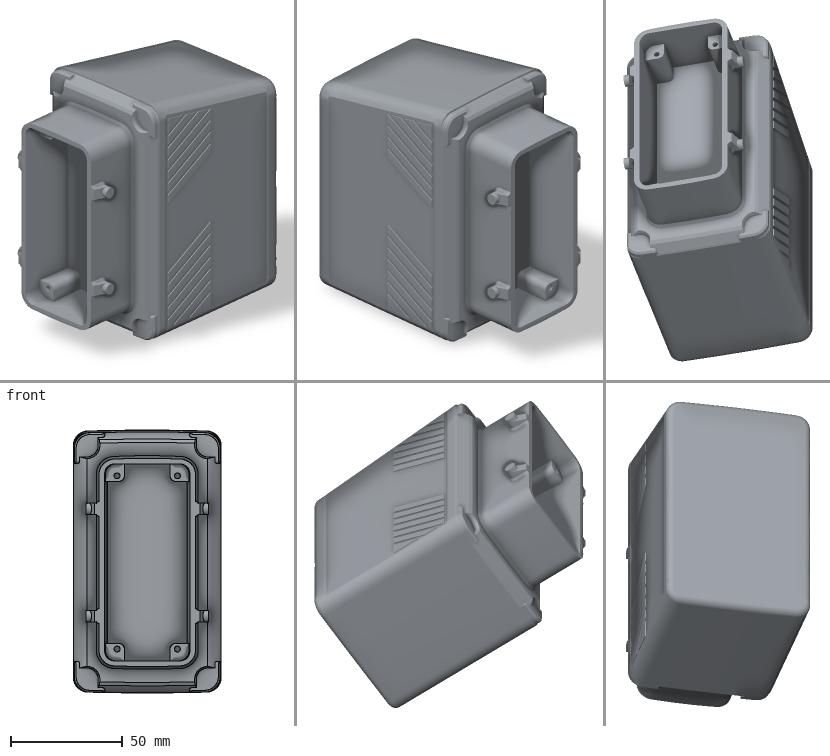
import cadquery as cq
import math

HALF_WIDTH = 33.01
HEIGHT = 117.3
DEPTH = 108.9
BODY_FRONT = 32.2
ROOF_ANGLE = 10.0
CORNER_RADIUS = 6.8
BACK_FILLET = 2.8
CROWN = 0.4

PANEL_DEPTH = 0.5
PANEL_FRONT = 36.9
PANEL_BACK = 101.4
PANEL_END_SLOPE = 0.8

STRIPE_FRONT = 38.0
STRIPE_BACK = 65.2
STRIPE_FLOOR = 5.9
STRIPE_ROOF_GAP = 6.5
STRIPE_ANGLE = 30.0
STRIPE_PITCH = 5.9
STRIPE_HEIGHT = 4.0
STRIPES_PER_GROUP = 7
UPPER_GROUP_LOWEST = 87.5
LOWER_GROUP_HIGHEST = 48.7

FRONT_HEIGHT = 116.4
FRONT_MID = FRONT_HEIGHT / 2
PLATE_ROOT_Y = 31.4
PLATE_ROOT_INSET = 0.5
PLATE_BEVEL_Y = 27.7
PLATE_FACE_Y = 26.7
PLATE_SIDE_INSET = 4.6
PLATE_END_INSET = 3.2
BEVEL = 1.5

PAD_FACE_Y = 29.0
PAD_INSET = 0.5
PAD_EDGE = 0.8
PAD_SIZE = 11.1
PAD_RADIUS = 5.2
PAD_WALL_TAPER = 18.0
LIP_REACH = 14.1
LIP_WIDTH = 2.8
LIP_END_RADIUS = 1.4

SHROUD_HALF_WIDTH = 21.6
SHROUD_LOW = 11.7
SHROUD_HIGH = FRONT_HEIGHT - SHROUD_LOW
SHROUD_RADIUS = 7.0
SHROUD_FLARE = 1.2
WALL = 2.6
CAVITY_DEPTH = 26.1
CAVITY_NARROWING = 1.2
CAVITY_RADIUS = SHROUD_RADIUS - WALL

POST_FRONT_Y = 8.9
POST_INNER_X = 10.1
POST_INNER_RISE = 10.4
POST_RADIUS = 2.8
SCREW_X = 13.5
SCREW_RISE = 7.9
SCREW_DIAMETER = 2.6

PIN_RADIUS = 2.6
PIN_Y = 6.3
PIN_SPACING = 47.8
PIN_TIP_X = 27.4
RAMP_TOP_X = 25.8
RAMP_FOOT_X = 23.5
PIN_BASE_HEIGHT = 1.2
PIN_BASE_FLARE = 1.0


def plane_at(y):
    """XZ workplane at the given Y, facing the front."""
    return cq.Workplane("XZ", origin=(0, y, 0))


def outline(y, half_width, low, high, radius):
    """Rounded rectangle whose upper and lower sides bulge by CROWN."""
    low_edge = low + CROWN
    high_edge = high - CROWN
    flat = half_width - radius
    diagonal = radius * (1 - math.sqrt(0.5))
    return (
        plane_at(y)
        .moveTo(-flat, low_edge)
        .threePointArc((0, low), (flat, low_edge))
        .threePointArc((half_width - diagonal, low_edge + diagonal), (half_width, low_edge + radius))
        .lineTo(half_width, high_edge - radius)
        .threePointArc((half_width - diagonal, high_edge - diagonal), (flat, high_edge))
        .threePointArc((0, high), (-flat, high_edge))
        .threePointArc((diagonal - half_width, high_edge - diagonal), (-half_width, high_edge - radius))
        .lineTo(-half_width, low_edge + radius)
        .threePointArc((diagonal - half_width, low_edge + diagonal), (-flat, low_edge))
        .close()
    )


def join_outlines(first, second):
    """Solid with straight walls running between two outlines."""
    wires = [cq.Wire.assembleEdges(shape.wire().val().Edges()) for shape in (first, second)]
    return cq.Workplane(cq.Solid.makeLoft(wires, True))


def on_both_sides(shape):
    return shape.union(shape.mirror("YZ"))


def on_four_corners(shape, mid_height):
    pair = on_both_sides(shape)
    return pair.union(pair.mirror("XY", (0, 0, mid_height)))


def roof_height(y):
    return HEIGHT - (y - BODY_FRONT) * math.tan(math.radians(ROOF_ANGLE))


def make_body():
    front = outline(BODY_FRONT, HALF_WIDTH, 0, HEIGHT, CORNER_RADIUS)
    back = outline(DEPTH, HALF_WIDTH, 0, roof_height(DEPTH), CORNER_RADIUS)
    return join_outlines(front, back).faces(">Y").edges().fillet(BACK_FILLET)


def stripe(top_at_back, height):
    fall = (STRIPE_BACK - STRIPE_FRONT) * math.tan(math.radians(STRIPE_ANGLE))
    return (
        cq.Workplane("YZ", origin=(-HALF_WIDTH, 0, 0))
        .moveTo(STRIPE_BACK, top_at_back)
        .lineTo(STRIPE_FRONT, top_at_back - fall)
        .lineTo(STRIPE_FRONT, top_at_back - fall - height)
        .lineTo(STRIPE_BACK, top_at_back - height)
        .close()
        .extrude(PANEL_DEPTH)
    )


def make_stripes():
    field = (
        cq.Workplane("YZ", origin=(-HALF_WIDTH, 0, 0))
        .moveTo(STRIPE_FRONT, STRIPE_FLOOR)
        .lineTo(STRIPE_BACK, STRIPE_FLOOR)
        .lineTo(STRIPE_BACK, roof_height(STRIPE_BACK) - STRIPE_ROOF_GAP)
        .lineTo(STRIPE_FRONT, roof_height(STRIPE_FRONT) - STRIPE_ROOF_GAP)
        .close()
        .extrude(PANEL_DEPTH)
    )
    stripes = cq.Workplane()
    for index in range(STRIPES_PER_GROUP):
        outermost = index == STRIPES_PER_GROUP - 1
        extra = STRIPE_PITCH if outermost else 0
        height = STRIPE_HEIGHT + extra
        step = index * STRIPE_PITCH
        stripes = stripes.add(stripe(UPPER_GROUP_LOWEST + step + extra, height))
        stripes = stripes.add(stripe(LOWER_GROUP_HIGHEST - step, height))
    return stripes.combine().intersect(field)


def make_panel_recess():
    """Material removed from the left side to sink its panel."""
    floor_x = -HALF_WIDTH + PANEL_DEPTH
    return (
        cq.Workplane("XY")
        .moveTo(floor_x, PANEL_FRONT)
        .lineTo(-HALF_WIDTH, PANEL_FRONT - PANEL_END_SLOPE)
        .lineTo(-HALF_WIDTH, PANEL_BACK + PANEL_END_SLOPE)
        .lineTo(floor_x, PANEL_BACK)
        .close()
        .extrude(HEIGHT)
    )


def make_front_plate():
    def section(y, side_inset, end_inset):
        return outline(
            y, HALF_WIDTH - side_inset, end_inset, FRONT_HEIGHT - end_inset, CORNER_RADIUS - end_inset
        )

    sections = [
        section(BODY_FRONT, 0, 0),
        section(PLATE_ROOT_Y, PLATE_ROOT_INSET, PLATE_ROOT_INSET),
        section(PLATE_BEVEL_Y, PLATE_SIDE_INSET, PLATE_END_INSET),
        section(PLATE_FACE_Y, PLATE_SIDE_INSET + BEVEL, PLATE_END_INSET + BEVEL),
    ]
    plate = cq.Workplane()
    for rear, front in zip(sections, sections[1:]):
        plate = plate.add(join_outlines(rear, front))
    return plate.combine()


def make_pad_recesses():
    """Corner notches in the front plate, widening toward its face."""
    notch_depth = PAD_FACE_Y - PLATE_FACE_Y
    notch = (
        plane_at(PAD_FACE_Y)
        .center(-HALF_WIDTH, 0)
        .sketch()
        .rect(2 * PAD_SIZE, 2 * PAD_SIZE)
        .vertices()
        .fillet(PAD_RADIUS)
        .finalize()
        .extrude(notch_depth, taper=-PAD_WALL_TAPER)
    )
    return on_four_corners(notch, FRONT_MID)


def make_pads():
    """Flat corner pads with round-ended lips running along the outline."""
    thickness = BODY_FRONT - PAD_FACE_Y
    slab = (
        outline(BODY_FRONT, HALF_WIDTH - PAD_INSET, 0, FRONT_HEIGHT, CORNER_RADIUS)
        .extrude(thickness)
        .faces("<Y")
        .chamfer(PAD_EDGE)
    )
    corner = plane_at(BODY_FRONT).center(-HALF_WIDTH, 0)
    square = corner.rect(2 * PAD_SIZE, 2 * PAD_SIZE).extrude(thickness).edges("|Y").fillet(PAD_RADIUS)
    side_lip = corner.rect(2 * LIP_WIDTH, 2 * LIP_REACH).extrude(thickness)
    end_lip = corner.rect(2 * LIP_REACH, 2 * LIP_WIDTH).extrude(thickness)
    lips = side_lip.edges(">Z and |X").fillet(LIP_END_RADIUS)
    lips = lips.union(end_lip.edges(">X and |Z").fillet(LIP_END_RADIUS))
    return slab.intersect(on_four_corners(square.union(lips), FRONT_MID))


def make_shroud():
    def ring(y, growth):
        return outline(
            y, SHROUD_HALF_WIDTH + growth, SHROUD_LOW - growth, SHROUD_HIGH + growth, SHROUD_RADIUS + growth
        )

    tube = ring(PLATE_BEVEL_Y, 0).extrude(PLATE_BEVEL_Y)
    flare = join_outlines(ring(PLATE_FACE_Y - SHROUD_FLARE, 0), ring(PLATE_FACE_Y, SHROUD_FLARE))
    return tube.union(flare)


def make_cavity():
    mouth = SHROUD_HALF_WIDTH - WALL
    floor = mouth - CAVITY_NARROWING
    return (
        cq.Workplane("XY", origin=(0, 0, SHROUD_LOW + WALL))
        .polyline([(-mouth, 0), (mouth, 0), (floor, CAVITY_DEPTH), (-floor, CAVITY_DEPTH)])
        .close()
        .extrude(SHROUD_HIGH - SHROUD_LOW - 2 * WALL)
        .edges("(not |Z) and (not |X)")
        .fillet(CAVITY_RADIUS)
    )


def make_posts(cavity):
    """Posts filling the cavity corners, each with a blind screw hole."""
    width = SHROUD_HALF_WIDTH - POST_INNER_X
    length = CAVITY_DEPTH - POST_FRONT_Y
    post = (
        cq.Workplane("XY")
        .box(width, length, POST_INNER_RISE, centered=False)
        .translate((POST_INNER_X, POST_FRONT_Y, SHROUD_LOW))
        .edges("|Y and <X and >Z")
        .fillet(POST_RADIUS)
    )
    hole = (
        plane_at(CAVITY_DEPTH)
        .center(SCREW_X, SHROUD_LOW + SCREW_RISE)
        .circle(SCREW_DIAMETER / 2)
        .extrude(length)
    )
    return on_four_corners(post.cut(hole), FRONT_MID).intersect(cavity)


def make_pins():
    """Round locking pins, each with a lead-in ramp and a flared foot."""
    pin_z = FRONT_MID + PIN_SPACING / 2
    start_x = SHROUD_HALF_WIDTH - WALL / 2
    side = cq.Workplane("YZ", origin=(start_x, PIN_Y, pin_z))
    pin = side.circle(PIN_RADIUS).extrude(PIN_TIP_X - start_x)
    ramp = (
        cq.Workplane("XY", origin=(0, 0, pin_z - PIN_RADIUS))
        .polyline([(start_x, 0), (RAMP_FOOT_X, 0), (RAMP_TOP_X, PIN_Y), (start_x, PIN_Y)])
        .close()
        .extrude(2 * PIN_RADIUS)
    )
    foot_radius = PIN_RADIUS + PIN_BASE_FLARE
    foot_taper = math.degrees(math.atan(PIN_BASE_FLARE / PIN_BASE_HEIGHT))
    foot = (
        cq.Workplane("YZ", origin=(SHROUD_HALF_WIDTH, 0, pin_z))
        .slot2D(2 * (PIN_Y + foot_radius), 2 * foot_radius)
        .extrude(PIN_BASE_HEIGHT, taper=foot_taper)
    )
    behind_mouth = cq.Workplane("XY").box(HEIGHT, DEPTH, HEIGHT, centered=(True, False, False))
    return on_four_corners(pin.union(ramp).union(foot), FRONT_MID).intersect(behind_mouth)


cavity = make_cavity()
result = make_body().cut(on_both_sides(make_panel_recess()))
result = result.union(on_both_sides(make_stripes()))
result = result.union(make_front_plate().cut(make_pad_recesses()))
result = result.union(make_pads())
result = result.union(make_shroud()).union(make_pins())
result = result.cut(cavity).union(make_posts(cavity))